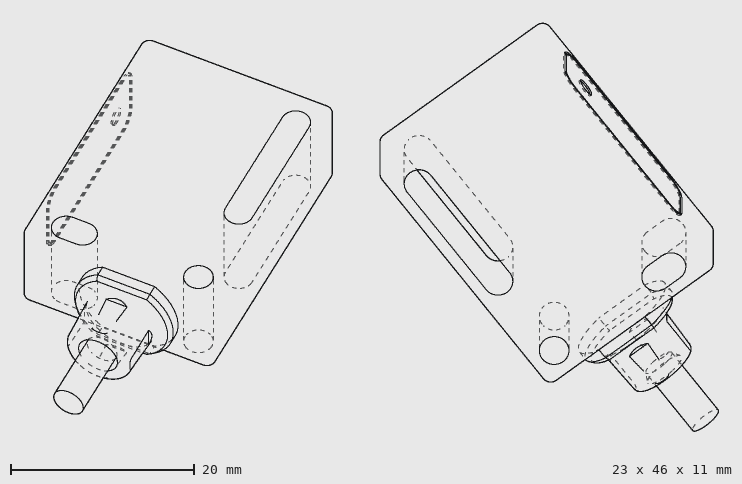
import cadquery as cq
import math


total_length = 46.0
housing_width = 23.0
housing_length = 31.0
housing_height = 11.0
upright_edge_radius = 1.0
rim_edge_radius = 0.4

hole_diameter = 3.2
hole_side_offset = 8.5
hole_front_offset = 3.0
long_slot_length = 17.4
long_slot_back_margin = 2.15
short_slot_length = 5.2
short_slot_offset = 6.5

panel_length = 20.98
panel_height = 9.0
panel_corner_radius = 2.0
panel_back_margin = 3.7
groove_width = 0.28
groove_depth = 0.2
indicator_diameter = 2.02
indicator_back_offset = 7.5
indicator_depth = 0.2

gland_offset = 1.5
collar_diameter = 11.95
collar_height = housing_height - 2 * rim_edge_radius
collar_length = 1.75
collar_chamfer_radial = 0.4
collar_chamfer_axial = 0.55

nose_tip = 7.65
nose_base_radius = 4.1
nose_tip_radius = 3.85
nose_root_fillet = 0.5
nose_tip_fillet = 0.45
flat_start = 3.0
flat_step_length = 0.4
flat_start_distance = 3.85
flat_tip_distance = 3.75
flat_count = 4

cable_radius = 1.8
entry_radius = 2.35
entry_depth = 1.0


def make_housing():
    return (
        cq.Workplane("XY")
        .box(housing_width, housing_length, housing_height)
        .edges("|Z")
        .fillet(upright_edge_radius)
        .faces("<Z or >Z")
        .edges()
        .fillet(rim_edge_radius)
        .translate((0, housing_length / 2, 0))
    )


def make_mounting_holes():
    long_slot_y = housing_length - long_slot_back_margin - long_slot_length / 2
    plane = cq.Workplane("XY").workplane(offset=-housing_height)
    depth = 2 * housing_height
    round_hole = (
        plane.center(hole_side_offset, hole_front_offset)
        .circle(hole_diameter / 2)
        .extrude(depth)
    )
    long_slot = (
        plane.center(hole_side_offset, long_slot_y)
        .slot2D(long_slot_length, hole_diameter, 90)
        .extrude(depth)
    )
    short_slot = (
        plane.center(-short_slot_offset, hole_front_offset)
        .slot2D(short_slot_length, hole_diameter)
        .extrude(depth)
    )
    return round_hole.union(long_slot).union(short_slot)


def rounded_panel(inset):
    panel_y = housing_length - panel_back_margin - panel_length / 2
    return (
        cq.Workplane("YZ", origin=(-housing_width / 2, panel_y, 0))
        .rect(panel_length - 2 * inset, panel_height - 2 * inset)
        .extrude(groove_depth)
        .edges("|X")
        .fillet(panel_corner_radius - inset)
    )


def make_panel_cuts():
    groove = rounded_panel(0).cut(rounded_panel(groove_width))
    indicator_y = housing_length - indicator_back_offset
    indicator = (
        cq.Workplane("YZ", origin=(-housing_width / 2, indicator_y, 0))
        .circle(indicator_diameter / 2)
        .extrude(indicator_depth)
    )
    return groove.union(indicator)


def gland_plane(distance):
    """Plane across the gland axis, facing -Y, at a distance from the front wall."""
    return cq.Workplane("XZ", origin=(gland_offset, -distance, 0))


def collar_outline(distance):
    """Circle with two flats parallel to the housing's top and bottom."""
    radius = collar_diameter / 2
    flat_z = collar_height / 2
    flat_end = math.sqrt(radius**2 - flat_z**2)
    return (
        gland_plane(distance)
        .moveTo(-flat_end, flat_z)
        .lineTo(flat_end, flat_z)
        .threePointArc((radius, 0), (flat_end, -flat_z))
        .lineTo(-flat_end, -flat_z)
        .threePointArc((-radius, 0), (-flat_end, flat_z))
        .close()
    )


def make_collar():
    """Straight disc followed by a tapered end that forms the chamfer."""
    straight_length = collar_length - collar_chamfer_axial
    chamfer_angle = math.degrees(math.atan(collar_chamfer_radial / collar_chamfer_axial))
    straight = collar_outline(0).extrude(straight_length)
    chamfered_end = collar_outline(straight_length).extrude(
        collar_chamfer_axial, taper=chamfer_angle
    )
    return straight.union(chamfered_end)


def make_nose():
    """Revolved sleeve: concave root fillet, tapered side, rounded tip, flared entry."""
    root_end = collar_length + nose_root_fillet
    profile = (
        cq.Workplane("XY", origin=(gland_offset, 0, 0))
        .moveTo(0, 0)
        .lineTo(nose_base_radius + nose_root_fillet, 0)
        .lineTo(nose_base_radius + nose_root_fillet, -collar_length)
        .radiusArc((nose_base_radius, -root_end), -nose_root_fillet)
        .lineTo(nose_tip_radius, -nose_tip)
        .lineTo(entry_radius, -nose_tip)
        .lineTo(cable_radius, -(nose_tip - entry_depth))
        .lineTo(0, -(nose_tip - entry_depth))
        .close()
    )
    sleeve = profile.revolve(360, (0, 0, 0), (0, 1, 0))
    tip_rim = cq.selectors.RadiusNthSelector(-1)
    sleeve = sleeve.faces("<Y").edges(tip_rim).fillet(nose_tip_fillet)
    return sleeve.cut(make_nose_flats())


def make_nose_flats():
    """Wedges that leave tapered flats with a sloping shoulder at the collar end."""
    shoulder_start = flat_start - flat_step_length
    wedge = (
        cq.Workplane("XY", origin=(gland_offset, 0, 0))
        .moveTo(nose_base_radius, -shoulder_start)
        .lineTo(flat_start_distance, -flat_start)
        .lineTo(flat_tip_distance, -nose_tip)
        .lineTo(nose_base_radius, -nose_tip)
        .close()
        .extrude(nose_base_radius / 2, both=True)
    )
    axis_start = (gland_offset, 0, 0)
    axis_end = (gland_offset, 1, 0)
    flats = wedge
    for index in range(1, flat_count):
        flats = flats.union(wedge.rotate(axis_start, axis_end, index * 360 / flat_count))
    return flats


def make_cable():
    return gland_plane(0).circle(cable_radius).extrude(total_length - housing_length)


result = (
    make_housing()
    .cut(make_mounting_holes())
    .cut(make_panel_cuts())
    .union(make_collar())
    .union(make_nose())
    .union(make_cable())
)